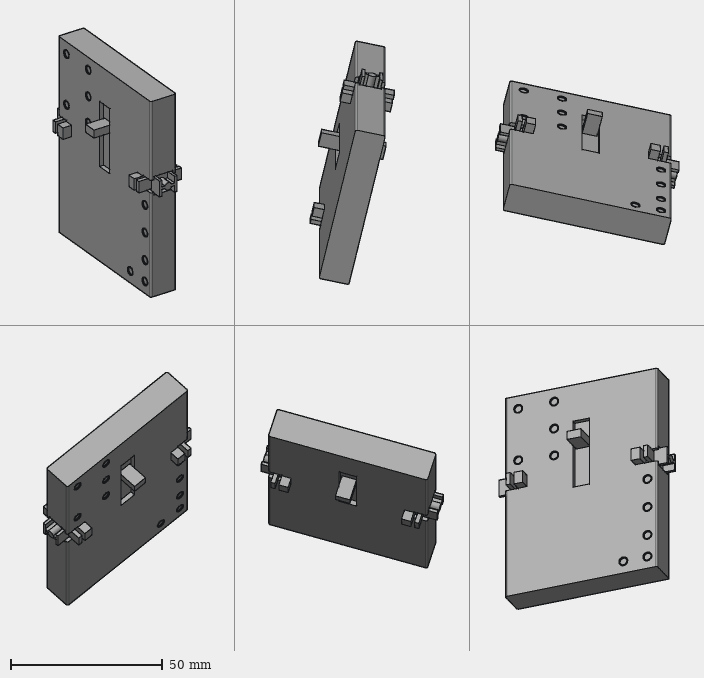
import cadquery as cq

BODY_X, BODY_Y, BODY_Z = 55.0, 10.15, 73.7
EDGE_RADIUS = 0.65

WINDOW_X, WINDOW_Z, WINDOW_DEPTH = 6.0, 24.5, 1.7
WINDOW_CENTER_Z = 11.05
LEVER_X, LEVER_Y, LEVER_Z = 5.0, 21.9, 3.0
LEVER_CENTER_Z = 15.2

OVERALL_X = 60.8
CONNECTOR_CENTER_Z = 4.85
POCKET_Y, POCKET_Z = 7.6, 7.0
TAB_Y, TAB_Z = 7.0, 6.0
NOTCH_Y = 5.0
NOTCH_DEPTH = 4.2
WEB_THICKNESS = 1.05
HUB_DIAMETER = 2.8
SLOT_INNER_X = 22.8
SLOT_Z = 4.7
SLOT_CENTER_Z = 4.8

CLAMP_Y = 17.0
CLAMP_Z = 4.3
FINGER_CENTER_Z, BLOCK_CENTER_Z = 4.9, 4.65
FINGER_INNER_X, FINGER_X = 24.1, 1.5
BLOCK_INNER_X, BLOCK_X = 19.6, 3.2

RIVET_DIAMETER, RIVET_CORE_DIAMETER = 3.1, 2.5
RIVET_HOLE_DEPTH, RIVET_CORE_SETBACK = 0.4, 0.2
RIVET_POSITIONS = [
    (-22.8, 32.1),
    (-22.8, 13.0),
    (-9.8, 32.1),
    (-9.8, 22.1),
    (-9.8, 12.1),
    (23.9, -3.6),
    (23.9, -14.0),
    (23.9, -24.4),
    (23.9, -32.4),
    (15.2, -32.4),
]


def box(size, center):
    """Box of the given (X, Y, Z) size around a centre point."""
    return cq.Workplane("XY").box(*size).translate(center)


def side_box(inner_x, outer_x, size_y, size_z, center_z):
    """Box on the +X side, given by its X limits and centred on Y = 0."""
    return box((outer_x - inner_x, size_y, size_z), ((inner_x + outer_x) / 2, 0, center_z))


def rivet_cylinders(diameter, inner_y, outer_y):
    """One cylinder along Y at every rivet position."""
    return (
        cq.Workplane("XZ", origin=(0, inner_y, 0))
        .pushPoints(RIVET_POSITIONS)
        .circle(diameter / 2)
        .extrude(inner_y - outer_y)
    )


def make_rivet_cut():
    """Round holes whose cores stay behind, set back slightly from the front face."""
    front_y = -BODY_Y / 2
    floor_y = front_y + RIVET_HOLE_DEPTH
    core_top_y = front_y + RIVET_CORE_SETBACK
    holes = rivet_cylinders(RIVET_DIAMETER, floor_y, front_y)
    cores = rivet_cylinders(RIVET_CORE_DIAMETER, floor_y, core_top_y)
    return holes.cut(cores)


def make_window(face):
    """Shallow lever window in the front (-1) or back (+1) face."""
    center_y = face * (BODY_Y - WINDOW_DEPTH) / 2
    return box((WINDOW_X, WINDOW_DEPTH, WINDOW_Z), (0, center_y, WINDOW_CENTER_Z))


def make_housing():
    """Plate with rounded upright edges, lever windows and rivets."""
    housing = box((BODY_X, BODY_Y, BODY_Z), (0, 0, 0)).edges("|Z").fillet(EDGE_RADIUS)
    for face in (-1, 1):
        housing = housing.cut(make_window(face))
    return housing.cut(make_rivet_cut())


def make_connector_cut():
    """Side pocket around the connector, and the slot for its clamp finger."""
    pocket = side_box(SLOT_INNER_X, BODY_X / 2, POCKET_Y, POCKET_Z, CONNECTOR_CENTER_Z)
    slot = side_box(SLOT_INNER_X, BODY_X / 2, BODY_Y, SLOT_Z, SLOT_CENTER_Z)
    return pocket.union(slot)


def make_connector():
    """Tab with an H-shaped end that has a round hub on its web, plus the clamp blocks."""
    tab = side_box(SLOT_INNER_X, OVERALL_X / 2, TAB_Y, TAB_Z, CONNECTOR_CENTER_Z)
    notch_floor_x = OVERALL_X / 2 - NOTCH_DEPTH
    notch = side_box(notch_floor_x, OVERALL_X / 2, NOTCH_Y, TAB_Z, CONNECTOR_CENTER_Z)
    web = side_box(notch_floor_x, OVERALL_X / 2, NOTCH_Y, WEB_THICKNESS, CONNECTOR_CENTER_Z)
    hub = (
        cq.Workplane("YZ", origin=(notch_floor_x, 0, CONNECTOR_CENTER_Z))
        .circle(HUB_DIAMETER / 2)
        .extrude(NOTCH_DEPTH)
    )
    connector = tab.cut(notch).union(web).union(hub)
    finger_outer_x = FINGER_INNER_X + FINGER_X
    finger = side_box(FINGER_INNER_X, finger_outer_x, CLAMP_Y, CLAMP_Z, FINGER_CENTER_Z)
    block_outer_x = BLOCK_INNER_X + BLOCK_X
    block = side_box(BLOCK_INNER_X, block_outer_x, CLAMP_Y, CLAMP_Z, BLOCK_CENTER_Z)
    return connector.union(finger).union(block)


connector_cut = make_connector_cut()
connector = make_connector()
result = make_housing()
result = result.cut(connector_cut).cut(connector_cut.mirror("YZ"))
result = result.union(connector).union(connector.mirror("YZ"))
lever = box((LEVER_X, LEVER_Y, LEVER_Z), (0, 0, LEVER_CENTER_Z))
result = result.union(lever)